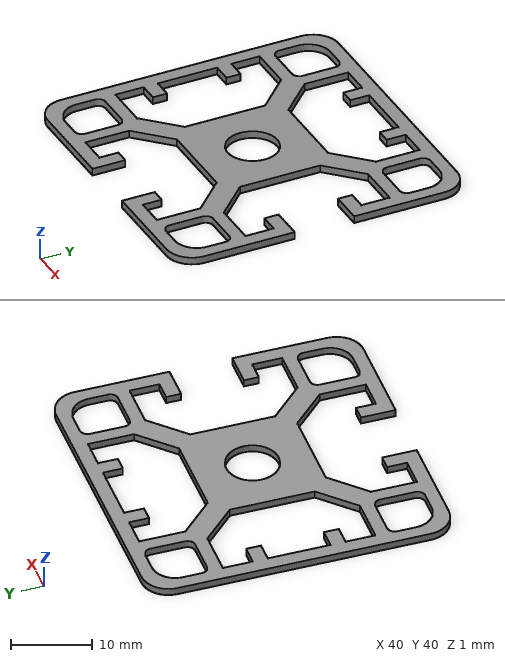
import cadquery as cq

side = 40.0
thickness = 1.0
outer_radius = 3.5
half_side = side / 2
wall = 1.9
bore_diameter = 6.8

slot_half_width = 9.9
slot_floor = 7.7
chamfer = 4.4
opening_width = 8.15
lip_width = 1.95
lip_depth = 4.5
slot_roof = half_side - wall

pocket_inner = 11.7
pocket_wall = 1.8
pocket_far = half_side - pocket_wall
pocket_size = pocket_far - pocket_inner
pocket_center = (pocket_far + pocket_inner) / 2
pocket_outer_radius = 3.0
pocket_inner_radius = 1.0


def make_slot():
    """T-slot cavity on the +Y side, closed by the outer wall."""
    cavity = (
        cq.Workplane("XY")
        .moveTo(-slot_half_width, slot_roof)
        .lineTo(-slot_half_width, slot_floor + chamfer)
        .lineTo(chamfer - slot_half_width, slot_floor)
        .lineTo(slot_half_width - chamfer, slot_floor)
        .lineTo(slot_half_width, slot_floor + chamfer)
        .lineTo(slot_half_width, slot_roof)
        .close()
        .extrude(thickness)
    )
    lip_offset = (opening_width + lip_width) / 2
    lips = (
        cq.Workplane("XY")
        .pushPoints([(x, half_side - lip_depth / 2) for x in (-lip_offset, lip_offset)])
        .rect(lip_width, lip_depth)
        .extrude(thickness)
    )
    return cavity.cut(lips)


def make_opening():
    """Gap between the lips through the outer wall on the +Y side."""
    return (
        cq.Workplane("XY")
        .center(0, half_side - lip_depth / 2)
        .rect(opening_width, lip_depth)
        .extrude(thickness)
    )


def make_corner_pocket():
    """Pocket in the +X +Y corner, with a larger radius towards the outer corner."""
    pocket = (
        cq.Workplane("XY")
        .center(pocket_center, pocket_center)
        .rect(pocket_size, pocket_size)
        .extrude(thickness)
    )
    inner_edges = pocket.edges("|Z").edges("not(>(1, 1, 0))")
    pocket = inner_edges.fillet(pocket_inner_radius)
    return pocket.edges("|Z and >(1, 1, 0)").fillet(pocket_outer_radius)


def turned(shape, angle):
    """Rotate a shape about the plate's central axis."""
    return shape.rotate((0, 0, 0), (0, 0, 1), angle)


plate = (
    cq.Workplane("XY")
    .rect(side, side)
    .extrude(thickness)
    .edges("|Z")
    .fillet(outer_radius)
    .faces(">Z")
    .workplane()
    .hole(bore_diameter)
)

for angle in (0, 90, 180, 270):
    plate = plate.cut(turned(make_slot(), angle))
    plate = plate.cut(turned(make_corner_pocket(), angle))

for angle in (180, 270):
    plate = plate.cut(turned(make_opening(), angle))

result = plate